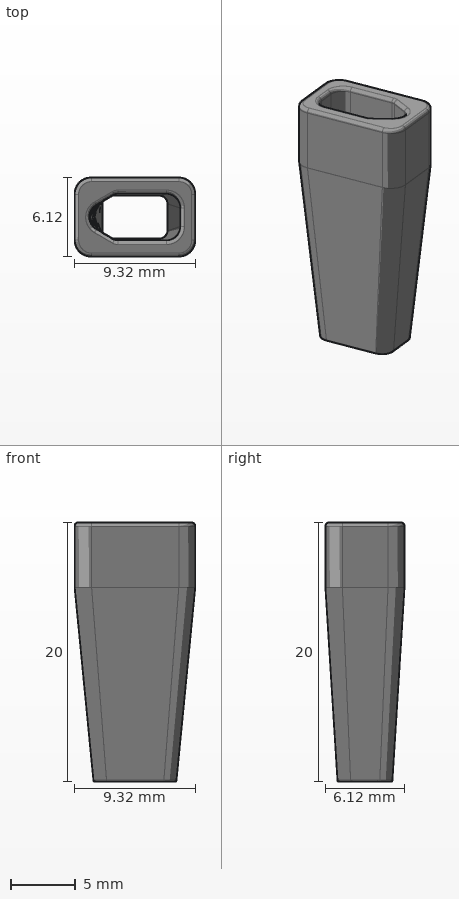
import cadquery as cq
import math

length_x = 9.32
width_y = 6.12
height = 20.0
collar_height = 5.0
collar_corner = 1.3
tip_x = 6.4
tip_y = 4.25
tip_corner = 1.0
rim_round = 0.3
tip_round = 0.15

mouth_depth = 3.0
mouth_half_y = 1.8
mouth_right = 3.5
mouth_corner = 1.1
nose_radius = 1.05
nose_center_x = -2.45
nose_angle = math.radians(30)
shoulder_radius = 0.5

bore_half_x = 2.5
bore_half_y = 1.65
bore_corner = 0.6

collar_base = height - collar_height
mouth_floor = height - mouth_depth


def arc_point(center, radius, angle):
    """Point on a circle at an angle in radians from +X."""
    return center[0] + radius * math.cos(angle), center[1] + radius * math.sin(angle)


def mirrored(point):
    return point[0], -point[1]


def rounded_rectangle(size_x, size_y, corner):
    return cq.Sketch().rect(size_x, size_y).vertices().fillet(corner)


def make_body():
    tip = rounded_rectangle(tip_x, tip_y, tip_corner)
    section = rounded_rectangle(length_x, width_y, collar_corner)
    section = section.moved(cq.Location(cq.Vector(0, 0, collar_base)))
    collar = cq.Workplane("XY").placeSketch(section).extrude(collar_height)
    collar = collar.faces(">Z").edges().fillet(rim_round)
    shank = cq.Workplane("XY").placeSketch(tip, section).loft(ruled=True)
    shank = shank.faces("<Z").edges().fillet(tip_round)
    return collar.union(shank)


def start_profile(z, right, half_y, corner, top_left):
    """Draw the right end, from its lower corner round to the end of the +Y side."""
    middle = arc_point((right - corner, half_y - corner), corner, math.pi / 4)
    return (
        cq.Workplane("XY", origin=(0, 0, z))
        .moveTo(right, corner - half_y)
        .lineTo(right, half_y - corner)
        .threePointArc(middle, (right - corner, half_y))
        .lineTo(*top_left)
    )


def finish_profile(profile, right, half_y, corner):
    """Draw the -Y side and close at the lower right corner."""
    middle = arc_point((right - corner, half_y - corner), corner, math.pi / 4)
    return (
        profile.lineTo(right - corner, -half_y)
        .threePointArc(mirrored(middle), (right, corner - half_y))
        .close()
    )


def mouth_profile():
    normal = math.pi / 2 + nose_angle
    shoulder_y = mouth_half_y - shoulder_radius
    normal_gap = nose_radius - shoulder_radius
    shoulder_x = nose_center_x + (shoulder_y * math.cos(nose_angle) - normal_gap) / math.sin(nose_angle)
    shoulder_center = (shoulder_x, shoulder_y)
    top_left = (shoulder_x, mouth_half_y)
    shoulder_middle = arc_point(shoulder_center, shoulder_radius, (math.pi / 2 + normal) / 2)
    shoulder_end = arc_point(shoulder_center, shoulder_radius, normal)
    nose_start = arc_point((nose_center_x, 0), nose_radius, normal)
    profile = (
        start_profile(mouth_floor, mouth_right, mouth_half_y, mouth_corner, top_left)
        .threePointArc(shoulder_middle, shoulder_end)
        .lineTo(*nose_start)
        .threePointArc((nose_center_x - nose_radius, 0), mirrored(nose_start))
        .lineTo(*mirrored(shoulder_end))
        .threePointArc(mirrored(shoulder_middle), mirrored(top_left))
    )
    return finish_profile(profile, mouth_right, mouth_half_y, mouth_corner)


def bore_profile():
    center = (bore_corner - bore_half_x, bore_half_y - bore_corner)
    top_left, upper, middle, lower, left = [
        arc_point(center, bore_corner, math.pi / 2 + step * math.pi / 8) for step in range(5)
    ]
    profile = (
        start_profile(0, bore_half_x, bore_half_y, bore_corner, top_left)
        .threePointArc(upper, middle)
        .threePointArc(lower, left)
        .lineTo(*mirrored(left))
        .threePointArc(mirrored(lower), mirrored(middle))
        .threePointArc(mirrored(upper), mirrored(top_left))
    )
    return finish_profile(profile, bore_half_x, bore_half_y, bore_corner)


def make_cavity():
    mouth = mouth_profile()
    wires = [bore_profile().val(), mouth.val()]
    bore = cq.Workplane(cq.Solid.makeLoft(wires, True))
    return bore.union(mouth.extrude(mouth_depth))


def round_mouth_rim(part):
    inside = cq.selectors.BoxSelector(
        (-length_x / 2 + rim_round * 2, -width_y / 2 + rim_round * 2, height - rim_round / 2),
        (length_x / 2 - rim_round * 2, width_y / 2 - rim_round * 2, height + rim_round / 2),
    )
    return part.edges(inside).fillet(rim_round)


result = round_mouth_rim(make_body().cut(make_cavity()))